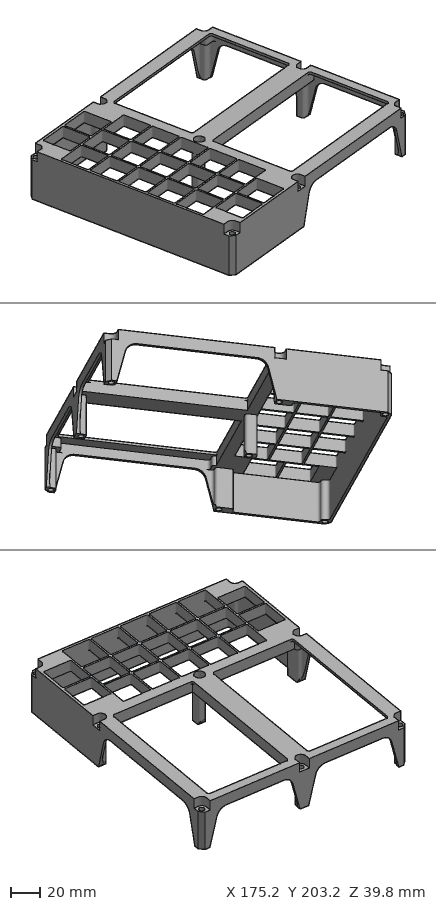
import cadquery as cq
import math

width = 175.2
length = 203.2
height = 39.8
corner_chamfer = 3.5

wall = 2.0
plate = 2.0
rib_depth = 9.3

bar_width = 16.7
window_width = 68.0
window_length = 113.0
window_back_y = 94.5
window_radius = 1.6
window_x = (bar_width + window_width) / 2
window_y = window_back_y - window_length / 2
window_front_y = window_back_y - window_length

key_size = 23.2
key_pitch = 24.5
key_radius = 0.8
front_row_y = -88.0
block_columns = 5
block_rows = 3
key_block_back_y = front_row_y + (block_rows - 1) * key_pitch + key_size / 2

screw_x = 84.0
screw_end_y = 97.3
screw_middle_y = -22.0
screw_diameter = 4.3
head_diameter = 8.1
head_depth = 8.0
boss_width = 6.7
head_boss_width = head_diameter + 2 * wall
boss_radius = 2.0
side_boss_reach = 9.8

arch_height = height - rib_depth
arch_slope = math.radians(14)
arch_radius = 8.5
side_arch_back_y = 94.0
side_arch_front_y = -19.3
back_arch_outer_x = 80.0
back_arch_inner_x = 3.7
back_arch_depth = 4.0



def block(size_x, size_y, z_low, z_high, x=0.0, y=0.0):
    """Upright rectangular block centred on (x, y)."""
    return cq.Workplane("XY", origin=(x, y, z_low)).rect(size_x, size_y).extrude(z_high - z_low)


def arch(plane, start, end, depth):
    """Sloping-sided opening with rounded upper corners, spanning start to end at the underside."""
    inset = arch_height * math.tan(arch_slope)
    outline = [(start, 0), (start + inset, arch_height), (end - inset, arch_height), (end, 0)]
    solid = cq.Workplane(plane).polyline(outline).close().extrude(depth, both=True)
    along = "|X" if plane == "YZ" else "|Y"
    return solid.edges(along).edges(">Z").fillet(arch_radius)


def envelope():
    return block(width, length, 0, height).edges("|Z").chamfer(corner_chamfer)


def key_centres():
    columns = range(block_columns)
    middle = (block_columns - 1) / 2
    centres = [
        ((column - middle) * key_pitch, front_row_y + row * key_pitch)
        for column in columns
        for row in range(block_rows)
    ]
    side_x = (middle + 1) * key_pitch
    centres += [
        (side * side_x, front_row_y + (row + 0.5) * key_pitch)
        for side in (-1, 1)
        for row in range(block_rows - 1)
    ]
    return centres


def screw_points():
    rows = (-screw_end_y, screw_middle_y, screw_end_y)
    points = [(side * screw_x, y) for side in (-1, 1) for y in rows]
    return points + [(0, screw_middle_y), (0, screw_end_y)]


def boss(x, y, boss_size):
    """Square screw pillar, run out to the outer faces next to it."""
    half = boss_size / 2
    x_low = -width / 2 if x < 0 else x - half
    x_high = width / 2 if x > 0 else x + half
    y_low = y - half
    y_high = y + half
    if y == screw_end_y:
        y_high = length / 2
    elif y == -screw_end_y:
        y_low = -length / 2
    elif x == 0:
        y_low = key_block_back_y
    else:
        y_low = y - side_boss_reach
    return block(x_high - x_low, y_high - y_low, 0, height, (x_low + x_high) / 2, (y_low + y_high) / 2)


def hollow(boss_size, z_low, z_high):
    """Space inside the walls, flowing round every boss with rounded corners."""
    space = block(width - 2 * wall, length - 2 * wall, z_low, z_high)
    for x, y in screw_points():
        space = space.cut(boss(x, y, boss_size))
    return space.edges("|Z").fillet(boss_radius)


def shell():
    """Thin top plate and outer walls, with bosses that widen around the screw heads."""
    leg_space = hollow(boss_width, 0, height - rib_depth)
    head_space = hollow(head_boss_width, height - rib_depth, height - plate)
    return envelope().cut(leg_space).cut(head_space)


def ribs():
    """Deep slab under the keypad and deep central bar between the windows."""
    keypad_length = window_front_y + length / 2
    keypad = block(width, keypad_length, height - rib_depth, height, y=window_front_y - keypad_length / 2)
    bar = block(bar_width, length, height - rib_depth, height)
    return keypad.union(bar).intersect(envelope())


def window_cutters():
    cutters = cq.Workplane("XY").pushPoints([(-window_x, window_y), (window_x, window_y)])
    cutters = cutters.rect(window_width, window_length).extrude(height)
    return cutters.edges("|Z").fillet(window_radius)


def key_cutters():
    cutters = cq.Workplane("XY").pushPoints(key_centres()).rect(key_size, key_size)
    return cutters.extrude(height).edges("|Z").fillet(key_radius)


def side_arch_cutter():
    return arch("YZ", side_arch_front_y, side_arch_back_y, width)


def back_arch_cutters():
    right = arch("XZ", back_arch_inner_x, back_arch_outer_x, length)
    left = arch("XZ", -back_arch_outer_x, -back_arch_inner_x, length)
    back_wall = block(width, 2 * back_arch_depth, 0, height, y=length / 2)
    return right.union(left).intersect(back_wall)


def head_cutter(x, y):
    """Screw head recess, opened out to whichever outer faces lie next to it."""
    floor = height - head_depth
    recess = cq.Workplane("XY", origin=(x, y, floor)).circle(head_diameter / 2).extrude(head_depth)
    beside = x + math.copysign(head_diameter / 2, x)
    beyond = y + math.copysign(head_diameter / 2, y)
    at_side = x != 0
    at_end = abs(y) == screw_end_y
    openings = []
    if at_side:
        openings.append((beside, y))
    if at_end:
        openings.append((x, beyond))
    if at_side and at_end:
        openings.append((beside, beyond))
    for opening_x, opening_y in openings:
        opening = block(head_diameter, head_diameter, floor, height, opening_x, opening_y)
        recess = recess.union(opening)
    return recess


def screw_hole_cutters():
    holes = cq.Workplane("XY").pushPoints(screw_points())
    return holes.circle(screw_diameter / 2).extrude(height)


result = shell().union(ribs())
result = result.cut(window_cutters()).cut(key_cutters())
result = result.cut(side_arch_cutter()).cut(back_arch_cutters())
for screw in screw_points():
    result = result.cut(head_cutter(*screw))
result = result.cut(screw_hole_cutters())